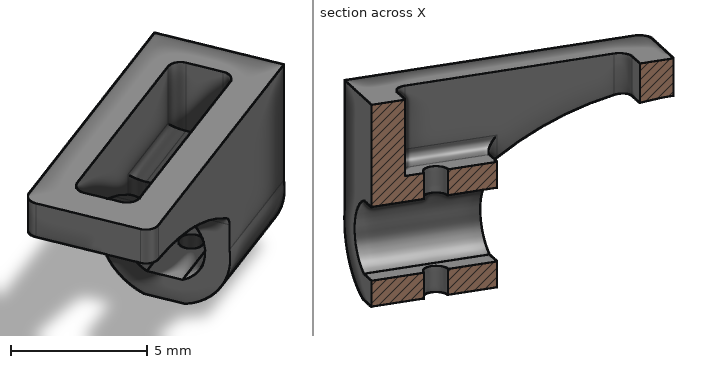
import cadquery as cq
import math

length = 12.0
width = 5.2
height = 8.02
corner_radius = 0.5

barrel_radius = 2.63
barrel_length = 4.99
axis_height = 2.5
bore_radius = 1.62
bore_flat_offset = 1.45

tip_thickness = 1.5
arch_radius = 12.0

pocket_width = 2.5
pocket_margin = 1.35
floor_height = 4.99

hole_diameter = 0.95
hole_from_back = 2.57

barrel_front = length - barrel_length
tip_bottom = height - tip_thickness
pocket_back = length - pocket_margin


def arch_height(y):
    """Height of the underside arc, which is level at the tip."""
    return tip_bottom - arch_radius + math.sqrt(arch_radius**2 - y**2)


def make_body():
    """Side profile extruded across the width, with rounded tip and inner corner."""
    body = (
        cq.Workplane("YZ")
        .moveTo(length, axis_height)
        .lineTo(length, height)
        .lineTo(0, height)
        .lineTo(0, tip_bottom)
        .threePointArc(
            (barrel_front / 2, arch_height(barrel_front / 2)),
            (barrel_front, arch_height(barrel_front)),
        )
        .lineTo(barrel_front, axis_height)
        .close()
        .extrude(width / 2, both=True)
    )
    inner_corner = cq.selectors.NearestToPointSelector((0, barrel_front, arch_height(barrel_front)))
    body = body.edges("|X").edges(inner_corner).fillet(corner_radius)
    return body.edges("|Z and <Y").fillet(corner_radius)


def flatted_cylinder(radius, flat_offset):
    """Cylinder along the barrel axis with flats above and below the axis."""
    cylinder = (
        cq.Workplane("XZ", origin=(0, length, axis_height))
        .circle(radius)
        .extrude(barrel_length)
    )
    slab = cq.Workplane("XY").box(2 * radius, 2 * length, 2 * flat_offset)
    return cylinder.intersect(slab.translate((0, length, axis_height)))


def rounded_slot(y_start, y_end, bottom):
    """Slot with rounded vertical corners, open through the top."""
    return (
        cq.Workplane("XY", origin=(0, (y_start + y_end) / 2, bottom))
        .rect(pocket_width, y_end - y_start)
        .extrude(height - bottom)
        .edges("|Z")
        .fillet(corner_radius)
    )


def make_pocket():
    """Slot that is open below the arm and has a trough-shaped floor above the barrel."""
    trough = (
        cq.Workplane("XY", origin=(0, 0, floor_height))
        .box(pocket_width, length, height, centered=(True, False, False))
        .edges("|Y and <Z")
        .fillet(corner_radius)
    )
    upper_slot = rounded_slot(pocket_margin, pocket_back, floor_height).intersect(trough)
    through_slot = rounded_slot(pocket_margin, barrel_front, 0)
    return upper_slot.union(through_slot)


def make_hole():
    return (
        cq.Workplane("XY")
        .center(0, length - hole_from_back)
        .circle(hole_diameter / 2)
        .extrude(height)
    )


result = (
    make_body()
    .union(flatted_cylinder(barrel_radius, axis_height))
    .cut(flatted_cylinder(bore_radius, bore_flat_offset))
    .cut(make_pocket())
    .cut(make_hole())
)